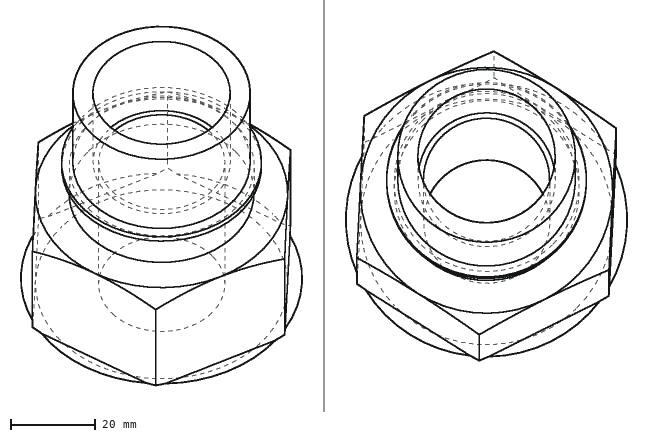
import cadquery as cq
import math

corner_diameter = 69.3
flat_width = corner_diameter * math.cos(math.radians(30))
nut_top = 32.55
chamfer_angle = 30.0

flange_diameter = 66.9

tube_diameter = 42.2
neck_diameter = 44.0
collar_diameter = 47.5
collar_bottom = 42.2
collar_top = 43.7
total_height = 68.5

bore_diameter = 30.0
counterbore_diameter = 32.6
counterbore_floor = collar_top

chamfer_slope = math.tan(math.radians(chamfer_angle))
corner_drop = (corner_diameter - flat_width) / 2 * chamfer_slope
flange_height = (flange_diameter - flat_width) / 2 * chamfer_slope


def cylinder(diameter, bottom, top):
    return cq.Workplane("XY").workplane(offset=bottom).circle(diameter / 2).extrude(top - bottom)


def make_nut():
    hexagon = (
        cq.Workplane("XY")
        .polygon(6, corner_diameter)
        .extrude(nut_top)
        .rotate((0, 0, 0), (0, 0, 1), 90)
    )
    flange = cylinder(flange_diameter, 0, flange_height)
    inner_radius = flat_width / 2
    outer_radius = corner_diameter / 2
    chamfer_envelope = (
        cq.Workplane("XZ")
        .moveTo(0, 0)
        .lineTo(inner_radius, 0)
        .lineTo(outer_radius, corner_drop)
        .lineTo(outer_radius, nut_top - corner_drop)
        .lineTo(inner_radius, nut_top)
        .lineTo(0, nut_top)
        .close()
        .revolve(360, (0, 0, 0), (0, 1, 0))
    )
    return hexagon.union(flange).intersect(chamfer_envelope)


def make_tube():
    neck = cylinder(neck_diameter, 0, collar_bottom)
    collar = cylinder(collar_diameter, collar_bottom, collar_top)
    spigot = cylinder(tube_diameter, collar_top, total_height)
    return neck.union(collar).union(spigot)


def make_bore():
    through_hole = cylinder(bore_diameter, 0, total_height)
    counterbore = cylinder(counterbore_diameter, counterbore_floor, total_height)
    return through_hole.union(counterbore)


result = make_nut().union(make_tube()).cut(make_bore())